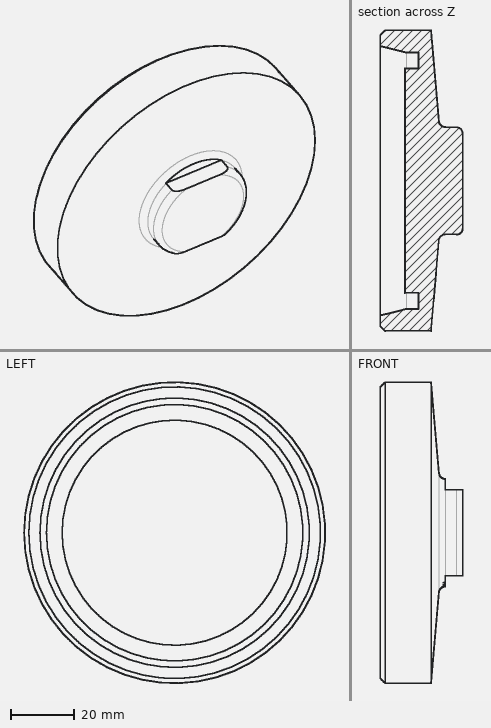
import cadquery as cq

rim_radius = 47.5
rim_chamfer = 1.5
rim_end = 16.1
total_length = 26.0

mouth_radius = 42.5
groove_radius = 80.8 / 2
disc_radius = 71.0 / 2
taper_depth = 8.2
disc_face_depth = 7.8
groove_depth = 12.1

hub_radius = 17.0
hub_fillet = 2.0
cone_end = 18.5
flat_start = cone_end + hub_fillet
flat_half_distance = 13.6


def make_body():
    """Revolve the outer profile, with the hub root and free end rounded."""
    return (
        cq.Workplane("XY")
        .lineTo(0, rim_radius - rim_chamfer)
        .lineTo(rim_chamfer, rim_radius)
        .lineTo(rim_end, rim_radius)
        .lineTo(cone_end, hub_radius + hub_fillet)
        .radiusArc((flat_start, hub_radius), -hub_fillet)
        .lineTo(total_length - hub_fillet, hub_radius)
        .radiusArc((total_length, hub_radius - hub_fillet), hub_fillet)
        .lineTo(total_length, 0)
        .close()
        .revolve(360, (0, 0, 0), (1, 0, 0))
    )


def make_dish():
    """Revolve the space removed from the open face."""
    return (
        cq.Workplane("XY")
        .lineTo(0, mouth_radius)
        .lineTo(taper_depth, groove_radius)
        .lineTo(groove_depth, groove_radius)
        .lineTo(groove_depth, disc_radius)
        .lineTo(disc_face_depth, disc_radius)
        .lineTo(disc_face_depth, 0)
        .close()
        .revolve(360, (0, 0, 0), (1, 0, 0))
    )


def make_flat_cut(side):
    """Block that cuts one flat; side is 1 for +Z and -1 for -Z."""
    length = total_length - flat_start
    height = hub_radius - flat_half_distance
    center = (flat_start + length / 2, 0, side * (flat_half_distance + height / 2))
    return cq.Workplane("XY").box(length, 2 * hub_radius, height).translate(center)


result = make_body().cut(make_dish())
for side in (1, -1):
    result = result.cut(make_flat_cut(side))